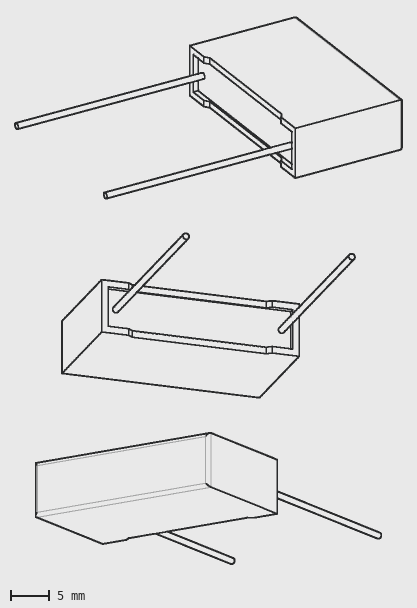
import cadquery as cq

case_width = 26.8
case_depth = 16.1
case_height = 7.21
wall = 0.9
rear_fillet = 0.5

relief_depth = 0.5
relief_edge_inset = 3.65
relief_slope_width = 0.65

resin_recess = 0.75

overall_depth = 43.1
lead_diameter = 0.85
lead_pitch = 22.5

cavity_width = case_width - 2 * wall
cavity_height = case_height - 2 * wall
resin_depth = case_depth - wall - resin_recess
lead_front = case_depth - overall_depth
lead_length = resin_recess - lead_front


def block(width, depth, height, front):
    """Box centred on X and Z whose front face lies at Y = front."""
    return cq.Workplane("XY").box(width, depth, height).translate((0, front + depth / 2, 0))


def make_rim_relief():
    """Trapezoid with sloped ends, cut through the full case height."""
    outer_x = case_width / 2 - relief_edge_inset
    inner_x = outer_x - relief_slope_width
    outline = [(-outer_x, 0), (outer_x, 0), (inner_x, relief_depth), (-inner_x, relief_depth)]
    return cq.Workplane("XY").polyline(outline).close().extrude(case_height / 2, both=True)


def make_case():
    shell = block(case_width, case_depth, case_height, 0).faces(">Y").edges().fillet(rear_fillet)
    cavity = block(cavity_width, case_depth - wall, cavity_height, 0)
    return shell.cut(cavity).cut(make_rim_relief())


def make_resin():
    return block(cavity_width, resin_depth, cavity_height, resin_recess)


def make_lead(x):
    """Round wire along Y that ends on the resin face."""
    lead = cq.Workplane("XZ").circle(lead_diameter / 2).extrude(-lead_length)
    return lead.translate((x, lead_front, 0))


case = make_case()
resin = make_resin()
leads = [make_lead(side * lead_pitch / 2) for side in (-1, 1)]

result = cq.Compound.makeCompound([case.val(), resin.val(), *[lead.val() for lead in leads]])